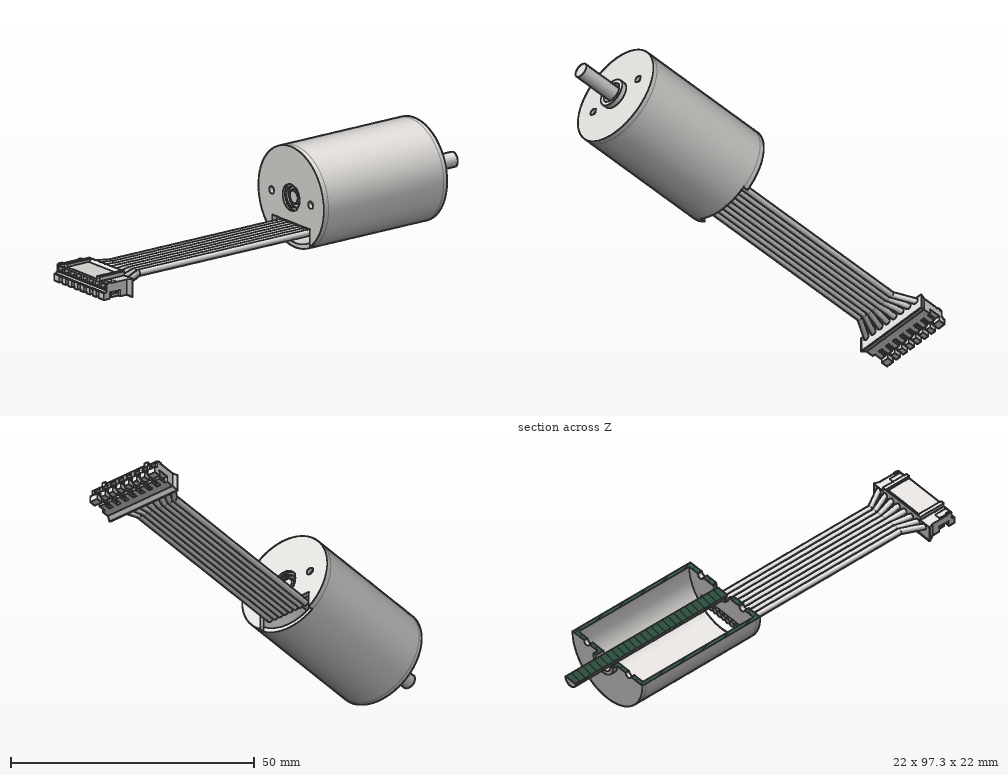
import cadquery as cq


MOTOR_DIAMETER = 22.0
MOTOR_LENGTH = 32.0
CAN_WALL = 1.0
FRONT_CAP_THICKNESS = 1.0
REAR_CAP_THICKNESS = 1.2
BOSS_DIAMETER = 6.2
BOSS_HEIGHT = 1.2
SHAFT_BORE = 4.6
REAR_RECESS_DIAMETER = 5.6
REAR_RECESS_DEPTH = 0.6
MOUNTING_HOLE_DIAMETER = 1.6
MOUNTING_HOLE_RADIUS = 6.5
CABLE_NOTCH_WIDTH = 12.45
CABLE_NOTCH_TOP_Z = -5.3

SHAFT_DIAMETER = 3.2
SHAFT_STICKOUT = 10.0
SHAFT_REAR_Y = 0.7
SHAFT_REAR_CHAMFER = 0.3

OVERALL_LENGTH = 97.3
WIRE_COUNT = 8
WIRE_DIAMETER = 1.4
RIBBON_WIDTH = 10.5
RIBBON_Z = -6.6
FAN_START_Y = -43.2
WIRE_PITCH = (RIBBON_WIDTH - WIRE_DIAMETER) / (WIRE_COUNT - 1)

CONTACT_PITCH = 2.0
CONNECTOR_X = (CONTACT_PITCH - WIRE_PITCH) / 2
CONNECTOR_BACK_Y = -48.1
CONNECTOR_FRONT_Y = MOTOR_LENGTH + SHAFT_STICKOUT - OVERALL_LENGTH
BODY_WIDTH = 16.7
BODY_TOP_Z = -5.7
BODY_BOTTOM_Z = -9.0
FACE_SETBACK = 0.8
LEDGE_TOP_Z = -7.2
LEDGE_DROP = 0.4
LEDGE_DEPTH = 0.4
SLOT_BACK_Y = -51.1
SLOT_FRONT_Y = -53.7
SLOT_TOP_Z = -7.7
TONGUE_LENGTH = 1.8
TONGUE_THICKNESS = 0.7
TOOTH_WIDTH = 1.2
FLANGE_WIDTH = 17.5
FLANGE_EDGE = 0.2
FLANGE_DEPTH = 1.3
FLANGE_BOTTOM_Z = -9.6
PLATE_WIDTH = 11.8
PLATE_HEIGHT = 0.9
PANEL_WIDTH = 10.0
PANEL_DEPTH = 0.6
PANEL_SLOPE_LENGTH = 0.8
CAVITY_WIDTH = 1.4
CAVITY_HEIGHT = 1.1
CAVITY_DEPTH = 2.9
BUMP_WIDTH = 0.5
BUMP_LENGTH = 0.9
BUMP_HEIGHT = 0.2
BUMP_SETBACK = 0.4
FACE_Y = CONNECTOR_FRONT_Y + FACE_SETBACK


def disc(diameter, y_start, length, x=0.0, z=0.0):
    """Cylinder along +Y that starts at y_start."""
    plane = cq.Plane(origin=(x, y_start, z), xDir=(1, 0, 0), normal=(0, 1, 0))
    return cq.Workplane(plane).circle(diameter / 2).extrude(length)


def block(x_center, width, y_low, y_high, z_low, z_high):
    """Axis-aligned box of the given width about x_center."""
    corner = cq.Vector(x_center - width / 2, y_low, z_low)
    return cq.Workplane(cq.Solid.makeBox(width, y_high - y_low, z_high - z_low, corner))


def row_positions(pitch, center):
    """X positions of the wires or contacts in a row about center."""
    first = center - pitch * (WIRE_COUNT - 1) / 2
    return [first + i * pitch for i in range(WIRE_COUNT)]


def side_profile(points, width):
    """Outline of (y, z) points extruded across the connector, centred on it."""
    plane = cq.Plane(origin=(CONNECTOR_X, 0, 0), xDir=(0, 1, 0), normal=(1, 0, 0))
    return cq.Workplane(plane).polyline(points).close().extrude(width / 2, both=True)


def make_housing():
    """Hollow can with a bossed front cap and a notched rear cap."""
    can_length = MOTOR_LENGTH - FRONT_CAP_THICKNESS - REAR_CAP_THICKNESS
    can = disc(MOTOR_DIAMETER, REAR_CAP_THICKNESS, can_length)
    can = can.cut(disc(MOTOR_DIAMETER - 2 * CAN_WALL, REAR_CAP_THICKNESS, can_length))

    front_cap = disc(MOTOR_DIAMETER, MOTOR_LENGTH - FRONT_CAP_THICKNESS, FRONT_CAP_THICKNESS)
    front_cap = front_cap.union(disc(BOSS_DIAMETER, MOTOR_LENGTH, BOSS_HEIGHT))

    rear_cap = disc(MOTOR_DIAMETER, 0, REAR_CAP_THICKNESS)
    rear_cap = rear_cap.cut(disc(REAR_RECESS_DIAMETER, 0, REAR_RECESS_DEPTH))
    rear_cap = rear_cap.cut(
        block(0, CABLE_NOTCH_WIDTH, 0, REAR_CAP_THICKNESS, -MOTOR_DIAMETER / 2, CABLE_NOTCH_TOP_Z)
    )

    housing = can.union(front_cap, clean=False).union(rear_cap, clean=False)
    through_length = MOTOR_LENGTH + BOSS_HEIGHT
    housing = housing.cut(disc(SHAFT_BORE, 0, through_length), clean=False)
    for x in (-MOUNTING_HOLE_RADIUS, MOUNTING_HOLE_RADIUS):
        housing = housing.cut(disc(MOUNTING_HOLE_DIAMETER, 0, through_length, x=x), clean=False)
    return housing


def make_shaft():
    """Shaft running clear through the housing bores, chamfered at its rear end."""
    shaft = disc(SHAFT_DIAMETER, SHAFT_REAR_Y, MOTOR_LENGTH + SHAFT_STICKOUT - SHAFT_REAR_Y)
    return shaft.faces("<Y").chamfer(SHAFT_REAR_CHAMFER)


def make_wire(ribbon_x, contact_x):
    """One wire: straight in the ribbon, then slanted to its contact."""
    straight = disc(WIRE_DIAMETER, FAN_START_Y, REAR_CAP_THICKNESS - FAN_START_Y, ribbon_x, RIBBON_Z)
    plane = cq.Plane(origin=(0, FAN_START_Y, RIBBON_Z), xDir=(1, 0, 0), normal=(0, -1, 0))
    slanted = (
        cq.Workplane(plane)
        .center(ribbon_x, 0)
        .circle(WIRE_DIAMETER / 2)
        .workplane(offset=FAN_START_Y - CONNECTOR_BACK_Y)
        .center(contact_x - ribbon_x, 0)
        .circle(WIRE_DIAMETER / 2)
        .loft(ruled=True)
    )
    return straight.union(slanted)


def make_cable():
    """Ribbon of wires moulded together, fanned out at the connector end."""
    ribbon_xs = row_positions(WIRE_PITCH, 0)
    contact_xs = row_positions(CONTACT_PITCH, CONNECTOR_X)
    cable = make_wire(ribbon_xs[0], contact_xs[0])
    for ribbon_x, contact_x in zip(ribbon_xs[1:], contact_xs[1:]):
        cable = cable.union(make_wire(ribbon_x, contact_x))
    return cable


def connector_body():
    """Main block with the sloped front ledge and the cross slot underneath."""
    lip_y = FACE_Y - LEDGE_DEPTH
    lip_top_z = LEDGE_TOP_Z - LEDGE_DROP
    outline = [
        (CONNECTOR_BACK_Y, BODY_TOP_Z),
        (FACE_Y, BODY_TOP_Z),
        (FACE_Y, LEDGE_TOP_Z),
        (lip_y, lip_top_z),
        (CONNECTOR_FRONT_Y, lip_top_z),
        (CONNECTOR_FRONT_Y, BODY_BOTTOM_Z),
        (SLOT_FRONT_Y, BODY_BOTTOM_Z),
        (SLOT_FRONT_Y, SLOT_TOP_Z),
        (SLOT_BACK_Y, SLOT_TOP_Z),
        (SLOT_BACK_Y, BODY_BOTTOM_Z),
        (CONNECTOR_BACK_Y, BODY_BOTTOM_Z),
    ]
    return side_profile(outline, BODY_WIDTH)


def flange_section(y, width, bottom_z):
    """Rectangle across the connector at the given y, hung from the body top."""
    center = (CONNECTOR_X, y, (BODY_TOP_Z + bottom_z) / 2)
    plane = cq.Plane(origin=center, xDir=(1, 0, 0), normal=(0, -1, 0))
    return cq.Workplane(plane).rect(width, BODY_TOP_Z - bottom_z)


def rear_flange():
    """Wider collar at the back whose sides and bottom taper into the block."""
    edge_y = CONNECTOR_BACK_Y - FLANGE_EDGE
    taper_end_y = CONNECTOR_BACK_Y - FLANGE_DEPTH
    rim = flange_section(CONNECTOR_BACK_Y, FLANGE_WIDTH, FLANGE_BOTTOM_Z).extrude(FLANGE_EDGE)
    wide_end = flange_section(edge_y, FLANGE_WIDTH, FLANGE_BOTTOM_Z).val()
    narrow_end = flange_section(taper_end_y, BODY_WIDTH, BODY_BOTTOM_Z).val()
    return rim.union(cq.Workplane(cq.Solid.makeLoft([wide_end, narrow_end], True)))


def top_plate():
    """Raised plate with a sunken panel, open at the front and sloped at the back."""
    top_z = BODY_TOP_Z + PLATE_HEIGHT
    floor_z = top_z - PANEL_DEPTH
    plate = block(CONNECTOR_X, PLATE_WIDTH, FACE_Y, CONNECTOR_BACK_Y, BODY_TOP_Z, top_z)
    panel = [
        (CONNECTOR_BACK_Y, top_z),
        (FACE_Y, top_z),
        (FACE_Y, floor_z),
        (CONNECTOR_BACK_Y - PANEL_SLOPE_LENGTH, floor_z),
    ]
    return plate.cut(side_profile(panel, PANEL_WIDTH))


def make_connector():
    """Wire-to-board plug housing with a cavity and a tongue per contact and a toothed front lip."""
    connector = connector_body().union(rear_flange()).union(top_plate())

    bump_y = FACE_Y + BUMP_SETBACK
    bump_offset = (BODY_WIDTH - BUMP_WIDTH) / 2
    for x in (CONNECTOR_X - bump_offset, CONNECTOR_X + bump_offset):
        bump = block(x, BUMP_WIDTH, bump_y, bump_y + BUMP_LENGTH, BODY_TOP_Z, BODY_TOP_Z + BUMP_HEIGHT)
        connector = connector.union(bump)

    cavity_low_z = (BODY_TOP_Z + LEDGE_TOP_Z - CAVITY_HEIGHT) / 2
    cavity_high_z = cavity_low_z + CAVITY_HEIGHT
    tongue_tip_y = SLOT_BACK_Y - TONGUE_LENGTH
    tongue_top_z = BODY_BOTTOM_Z + TONGUE_THICKNESS
    contact_xs = row_positions(CONTACT_PITCH, CONNECTOR_X)
    for x in contact_xs:
        tongue = block(x, TOOTH_WIDTH, tongue_tip_y, SLOT_BACK_Y, BODY_BOTTOM_Z, tongue_top_z)
        cavity = block(x, CAVITY_WIDTH, FACE_Y, FACE_Y + CAVITY_DEPTH, cavity_low_z, cavity_high_z)
        connector = connector.union(tongue).cut(cavity)

    gap_width = CONTACT_PITCH - TOOTH_WIDTH
    for x in contact_xs[:-1]:
        gap_x = x + CONTACT_PITCH / 2
        gap = block(gap_x, gap_width, CONNECTOR_FRONT_Y, SLOT_FRONT_Y, BODY_BOTTOM_Z, SLOT_TOP_Z)
        connector = connector.cut(gap)
    return connector


housing = make_housing()
shaft = make_shaft()
cable = make_cable()
connector = make_connector()

bodies = [housing, shaft, cable, connector]
result = cq.Compound.makeCompound([body.solids().val() for body in bodies])